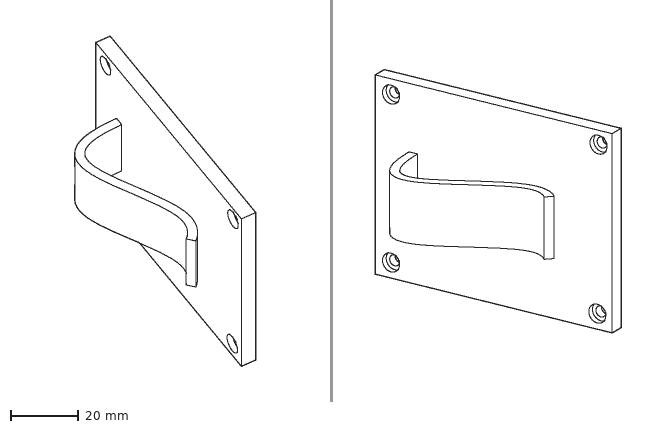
import cadquery as cq

plate_width = 83.72
plate_height = 64.0
plate_thickness = 5.0

screw_diameter = 3.5
head_diameter = 6.0
head_depth = 2.0
left_inset = 5.6
lower_right_inset = 5.27
upper_right_inset = 4.85
edge_inset = 5.04
upper_right_drop = 4.63
hole_centers = [
    (left_inset, edge_inset),
    (left_inset, plate_height - edge_inset),
    (plate_width - lower_right_inset, edge_inset),
    (plate_width - upper_right_inset, plate_height - upper_right_drop),
]

strip_thickness = 3.0
strip_height = 20.0
root_x = 13.45
centerline_points = [
    (root_x, 0),
    (20.4, -17.44),
    (48.6, -6.0),
    (61.1, -3.65),
    (65.7, -6.55),
]


def make_plate():
    return cq.Workplane("XY").box(plate_width, plate_thickness, plate_height, centered=False)


def make_hook():
    """Sweep the strip's rectangular section along its S-shaped centerline."""
    centerline = (
        cq.Workplane("XY", origin=(0, 0, plate_height / 2))
        .spline(centerline_points)
    )
    section = cq.Workplane("XZ", origin=(root_x, 0, plate_height / 2)).rect(strip_thickness, strip_height)
    return section.sweep(centerline)


def cut_screw_holes(body):
    front_face = cq.Workplane("XZ")
    for center in hole_centers:
        through = front_face.center(*center).circle(screw_diameter / 2).extrude(-plate_thickness)
        counterbore = front_face.center(*center).circle(head_diameter / 2).extrude(-head_depth)
        body = body.cut(through).cut(counterbore)
    return body


result = cut_screw_holes(make_plate()).union(make_hook())